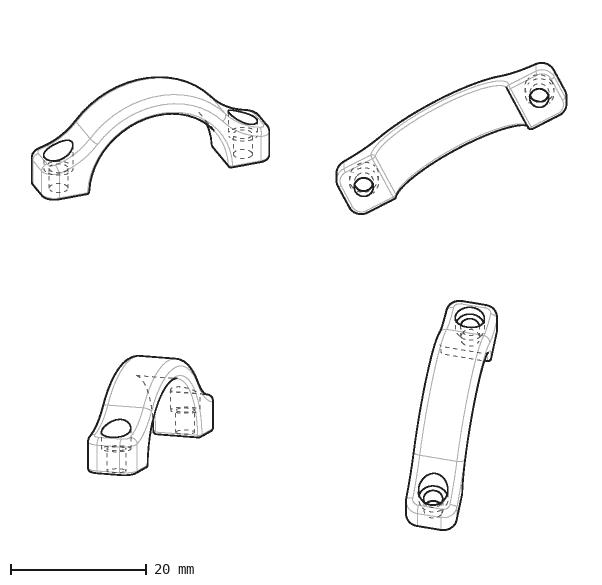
import cadquery as cq
import math

length = 35.98
width = 7.6
outer_radius = 13.92
inner_radius = 11.0
flare_radius = 10.0
flare_center_y = 18.4
corner_radius = 2.0
top_fillet = 1.0
bottom_fillet = 0.5
hole_spacing = 29.2
hole_diameter = 2.8
counterbore_diameter = 4.3
seat_height = 3.3

half_length = length / 2
flare_center_z = math.sqrt((outer_radius + flare_radius) ** 2 - flare_center_y**2)
tangent_ratio = outer_radius / (outer_radius + flare_radius)
tangent_y = flare_center_y * tangent_ratio
tangent_z = flare_center_z * tangent_ratio


def flare_height(y):
    """Height of the concave flare at distance y from the middle."""
    return flare_center_z - math.sqrt(flare_radius**2 - (y - flare_center_y) ** 2)


def make_bridge():
    """Extrude the arch profile across the width."""
    end_z = flare_height(half_length)
    mid_y = (tangent_y + half_length) / 2
    mid_z = flare_height(mid_y)
    return (
        cq.Workplane("YZ", origin=(-width / 2, 0, 0))
        .moveTo(-half_length, 0)
        .lineTo(-half_length, end_z)
        .threePointArc((-mid_y, mid_z), (-tangent_y, tangent_z))
        .threePointArc((0, outer_radius), (tangent_y, tangent_z))
        .threePointArc((mid_y, mid_z), (half_length, end_z))
        .lineTo(half_length, 0)
        .lineTo(inner_radius, 0)
        .threePointArc((0, inner_radius), (-inner_radius, 0))
        .close()
        .extrude(width)
    )


def is_opening_arc(edge):
    """True for the two arcs where the opening meets the side faces."""
    return math.isclose(edge.radius(), inner_radius, rel_tol=1e-6)


def round_edges(body):
    """Round the foot corners, then the upper rim, then the underside and opening."""
    body = body.edges("|Z").fillet(corner_radius)
    body = body.faces(">Z").edges("not(|X)").fillet(top_fillet)
    sharp_edges = body.faces("<Z").edges().add(
        body.edges("%CIRCLE").filter(is_opening_arc)
    )
    return sharp_edges.fillet(bottom_fillet)


def cut_screw_holes(body):
    """Drill a counterbored screw hole through each foot."""
    for y in (-hole_spacing / 2, hole_spacing / 2):
        foot = cq.Workplane("XY", origin=(0, y, 0))
        body = body.cut(foot.circle(hole_diameter / 2).extrude(outer_radius))
        seat = foot.workplane(offset=seat_height)
        body = body.cut(seat.circle(counterbore_diameter / 2).extrude(outer_radius))
    return body


result = cut_screw_holes(round_edges(make_bridge()))